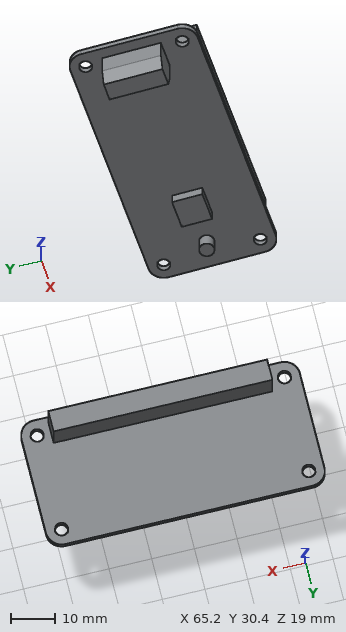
import cadquery as cq

board_length = 65.2
board_width = 30.4
board_thickness = 1.6
corner_radius = 3.65

hole_diameter = 3.0

header_length = 51.25
header_width = 5.0
header_height = 8.55
header_left_gap = 7.1
header_front_gap = 1.3

connector_length = 6.7
connector_width = 14.0
connector_depth = 8.8
connector_straight_depth = 4.9
connector_taper = 1.2
connector_left_gap = 2.55
connector_front_gap = 8.4

chip_length = 7.25
chip_width = 7.25
chip_depth = 2.55
chip_left_gap = 43.8

post_diameter = 3.5
post_depth = 3.3
post_left_gap = 56.6

left = -board_length / 2
front = -board_width / 2
connector_center_y = front + connector_front_gap + connector_width / 2


def make_board():
    hole_spacing_x = board_length - 2 * corner_radius
    hole_spacing_y = board_width - 2 * corner_radius
    plate = cq.Workplane("XY").rect(board_length, board_width).extrude(board_thickness)
    plate = plate.edges("|Z").fillet(corner_radius)
    return (
        plate.faces(">Z").workplane()
        .rect(hole_spacing_x, hole_spacing_y, forConstruction=True)
        .vertices()
        .hole(hole_diameter)
    )


def make_header():
    return (
        cq.Workplane("XY", origin=(left + header_left_gap, front + header_front_gap, board_thickness))
        .rect(header_length, header_width, centered=False)
        .extrude(header_height)
    )


def make_connector():
    x_start = left + connector_left_gap
    x_end = x_start + connector_length
    return (
        cq.Workplane("XZ", origin=(0, connector_center_y, 0))
        .polyline([
            (x_start, 0),
            (x_end, 0),
            (x_end, -connector_straight_depth),
            (x_end - connector_taper, -connector_depth),
            (x_start + connector_taper, -connector_depth),
            (x_start, -connector_straight_depth),
        ])
        .close()
        .extrude(connector_width / 2, both=True)
    )


def make_chip():
    chip_center_x = left + chip_left_gap + chip_length / 2
    return (
        cq.Workplane("XY", origin=(chip_center_x, connector_center_y, 0))
        .rect(chip_length, chip_width)
        .extrude(-chip_depth)
    )


def make_post():
    post_center_x = left + post_left_gap + post_diameter / 2
    return (
        cq.Workplane("XY", origin=(post_center_x, connector_center_y, 0))
        .circle(post_diameter / 2)
        .extrude(-post_depth)
    )


result = (
    make_board()
    .union(make_header())
    .union(make_connector())
    .union(make_chip())
    .union(make_post())
)